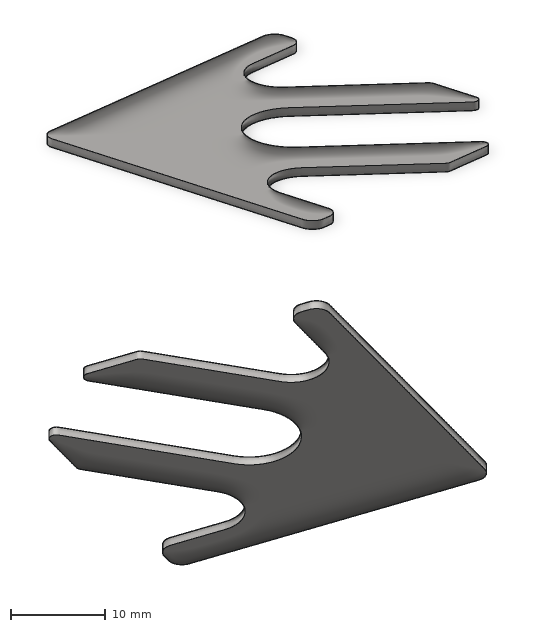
import cadquery as cq
import math

side = 38.1
thickness = 1.0
leg_width = 4.15
arm_width = 5.8
slot_radius = 5.55
slot_center = side / 2
notch_radius = 4.03
leg_corner_radius = 1.6
arm_corner_radius = 0.8

inner_offset = slot_radius * math.sqrt(2)
outer_offset = (slot_radius + arm_width) * math.sqrt(2)


def diagonal_slot():
    """Round-ended slot running along the diagonal and out past the far corner."""
    slot_length = side
    end = cq.Workplane("XY").circle(slot_radius).extrude(thickness)
    channel = (
        cq.Workplane("XY")
        .rect(slot_length, 2 * slot_radius)
        .extrude(thickness)
        .translate((slot_length / 2, 0, 0))
    )
    return (
        end.union(channel)
        .rotate((0, 0, 0), (0, 0, 1), 45)
        .translate((slot_center, slot_center, 0))
    )


def leg_notch():
    """Wedge between the upright leg and the upper arm, with a rounded root."""
    root = (leg_width, leg_width + outer_offset)
    wedge = (
        cq.Workplane("XY")
        .polyline([root, (side - outer_offset, side), (leg_width, side)])
        .close()
        .extrude(thickness)
    )
    return round_corners(wedge, [root], notch_radius)


def round_corners(body, corners, radius):
    """Fillet the upright edges standing at the given (x, y) corners."""
    for x, y in corners:
        nearest = cq.selectors.NearestToPointSelector((x, y, thickness / 2))
        body = body.edges("|Z").edges(nearest).fillet(radius)
    return body


def across_diagonal(points):
    """The given points together with their mirror images about Y = X."""
    return points + [(y, x) for x, y in points]


upper_notch = leg_notch()
lower_notch = upper_notch.rotate((0, 0, 0), (1, 1, 0), 180).translate((0, 0, thickness))
plate = (
    cq.Workplane("XY")
    .rect(side, side, centered=False)
    .extrude(thickness)
    .cut(diagonal_slot())
    .cut(upper_notch)
    .cut(lower_notch)
)

leg_corners = [(0, 0)] + across_diagonal([(0, side), (leg_width, side)])
arm_corners = across_diagonal([(side - outer_offset, side), (side - inner_offset, side)])

plate = round_corners(plate, leg_corners, leg_corner_radius)
result = round_corners(plate, arm_corners, arm_corner_radius)